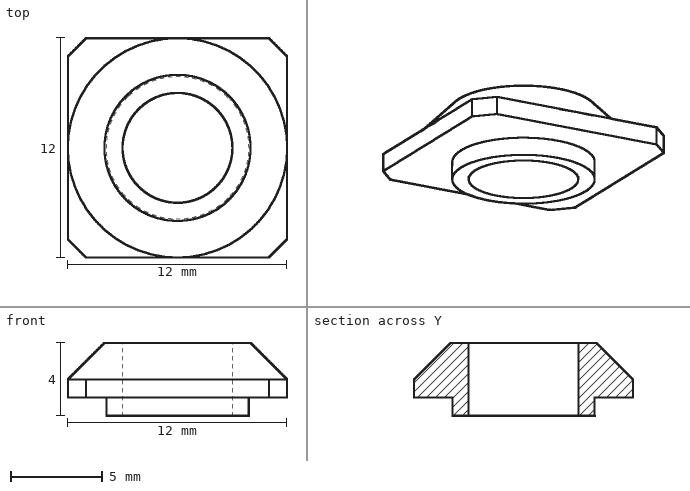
import cadquery as cq

side = 12.0
height = side / 3
bore_diameter = side / 2
spigot_diameter = 7.8

flange_thickness = height / 4
spigot_height = flange_thickness
cone_height = height - flange_thickness - spigot_height
corner_chamfer = flange_thickness

cone_base_radius = side / 2
cone_top_radius = cone_base_radius - cone_height


def make_flange():
    """Square plate with its underside at Z = 0 and its four corners cut off."""
    plate = cq.Workplane("XY").rect(side, side).extrude(flange_thickness)
    return plate.edges("|Z").chamfer(corner_chamfer)


def make_cone():
    """Truncated cone standing on the flange."""
    half_profile = (
        cq.Workplane("XZ")
        .moveTo(0, flange_thickness)
        .lineTo(cone_base_radius, flange_thickness)
        .lineTo(cone_top_radius, flange_thickness + cone_height)
        .lineTo(0, flange_thickness + cone_height)
        .close()
    )
    return half_profile.revolve(360, (0, 0, 0), (0, 1, 0))


def make_spigot():
    """Short round boss below the flange."""
    return cq.Workplane("XY").circle(spigot_diameter / 2).extrude(-spigot_height)


def make_bore():
    """Cylinder that opens the part from end to end."""
    return (
        cq.Workplane("XY")
        .workplane(offset=-spigot_height)
        .circle(bore_diameter / 2)
        .extrude(height)
    )


result = make_flange().union(make_cone()).union(make_spigot()).cut(make_bore())